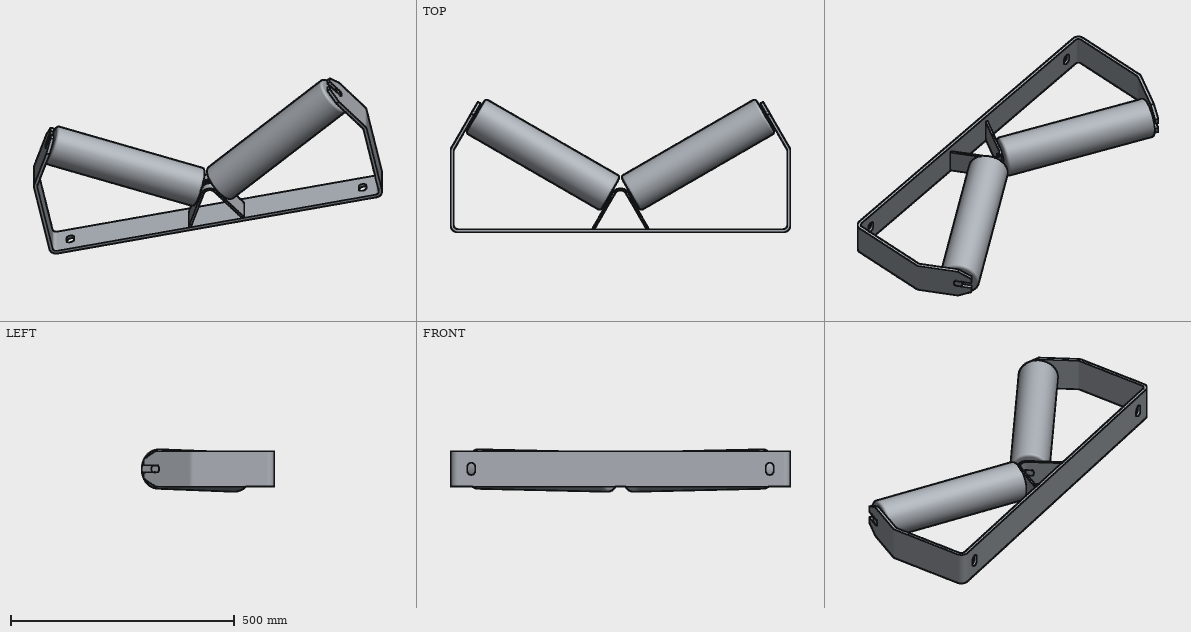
import cadquery as cq
import math


FRAME_WIDTH = 760.0
BAR_HEIGHT = 80.0
BAR_THICKNESS = 7.5
BEND_RADIUS = 16.0
ARM_ANGLE = 30.0
BEND_HEIGHT = 186.0
ARM_LENGTH = 122.0
TIP_WIDTH = 44.0
TIP_TAPER = 30.5

MOUNT_SPACING = 667.0
MOUNT_LENGTH = 27.0
MOUNT_WIDTH = 17.5

WEDGE_HEIGHT = 60.0
WEDGE_DROP = 7.2
WEDGE_THICKNESS = 5.0
WEDGE_PEAK = 118.0
WEDGE_RADIUS = 19.0

ROLLER_DIAMETER = 89.0
ROLLER_LENGTH = 347.0
ROLLER_FILLET = 6.0
SHAFT_DIAMETER = 20.0
SHAFT_FLATS = 14.5
FLAT_CLEARANCE = 0.4
AXIS_CROSSING = 74.0

SLOT_WIDTH = 16.0
SLOT_END_DIAMETER = 20.5

SIN = math.sin(math.radians(ARM_ANGLE))
COS = math.cos(math.radians(ARM_ANGLE))
TAN = SIN / COS
HALF_WIDTH = FRAME_WIDTH / 2
OVERLAP = 38.0

ARM_OUTER = HALF_WIDTH * COS + (BEND_HEIGHT - AXIS_CROSSING) * SIN
ARM_INNER = ARM_OUTER - BAR_THICKNESS
FLANK_OUTER = (WEDGE_PEAK - AXIS_CROSSING) * SIN
FLANK_INNER = FLANK_OUTER - WEDGE_THICKNESS

AXIS_ON_ARM = (AXIS_CROSSING + ARM_OUTER * SIN - BEND_HEIGHT) / COS
TIP = ARM_LENGTH - AXIS_ON_ARM

ROLLER_SLOPE = WEDGE_DROP / (ARM_OUTER - FLANK_OUTER)
SLANT = math.hypot(1, ROLLER_SLOPE)


def axis_plane(distance, level=0.0, slope=0.0):
    """Plane across the right roller axis: local x up along the arm, normal towards the wedge."""
    return cq.Plane(
        origin=(distance * COS, AXIS_CROSSING + distance * SIN, level),
        xDir=(-SIN, COS, 0),
        normal=(-COS, -SIN, -slope),
    )


def both_sides(right):
    """The given right-hand shape and its mirror image."""
    return [right, right.mirror("YZ")]


def shaft_slot(outer, thickness, length, level):
    """Open slot through a sheet: round end around the shaft, level edges, open along the sheet."""
    plane = axis_plane(outer + thickness, level)
    depth = 3 * thickness
    round_end = cq.Workplane(plane).circle(SLOT_END_DIAMETER / 2).extrude(depth)
    passage = cq.Workplane(plane).center(length / 2, 0).rect(length, SLOT_END_DIAMETER).extrude(depth)
    band = cq.Workplane(plane).rect(3 * length, SLOT_WIDTH).extrude(depth)
    return round_end.union(passage).intersect(band)


def frame_block(inset, top):
    """Solid inside the bracket outline moved inward by inset, with rounded bends."""
    side = HALF_WIDTH - inset
    bend = BEND_HEIGHT - inset * math.tan(math.radians(ARM_ANGLE / 2))
    shoulder = side - (top - bend) * TAN
    outline = [(-side, inset), (side, inset), (side, bend), (shoulder, top), (-shoulder, top), (-side, bend)]
    block = cq.Workplane("XY").polyline(outline).close().extrude(BAR_HEIGHT / 2, both=True)
    return block.edges("|Z").edges("not >Y").fillet(BEND_RADIUS - inset)


def arm_tip_trim():
    """Material to remove from the right arm to leave a flat end with two chamfers."""
    half_bar = BAR_HEIGHT / 2
    half_tip = TIP_WIDTH / 2
    outline = [(TIP - TIP_TAPER, -half_bar), (TIP, -half_tip), (TIP, half_tip), (TIP - TIP_TAPER, half_bar)]
    beyond = [(TIP + OVERLAP, half_bar), (TIP + OVERLAP, -half_bar)]
    plane = axis_plane(ARM_OUTER + BAR_THICKNESS)
    return cq.Workplane(plane).polyline(outline + beyond).close().extrude(3 * BAR_THICKNESS)


def make_bracket():
    top = BEND_HEIGHT + ARM_LENGTH * COS
    bracket = frame_block(0, top).cut(frame_block(BAR_THICKNESS, top + OVERLAP))
    for trim in both_sides(arm_tip_trim()):
        bracket = bracket.cut(trim)
    for slot in both_sides(shaft_slot(ARM_OUTER, BAR_THICKNESS, ARM_LENGTH, 0)):
        bracket = bracket.cut(slot)
    mounts = (
        cq.Workplane("XZ")
        .pushPoints([(-MOUNT_SPACING / 2, 0), (MOUNT_SPACING / 2, 0)])
        .slot2D(MOUNT_LENGTH, MOUNT_WIDTH, 90)
        .extrude(BAR_THICKNESS, both=True)
    )
    return bracket.cut(mounts)


def wedge_block(peak, radius, foot):
    """Triangular solid with a rounded peak, standing on Y = foot."""
    half_base = (peak - foot) * TAN
    outline = [(-half_base, foot), (half_base, foot), (0, peak)]
    block = cq.Workplane("XY", origin=(0, 0, -WEDGE_DROP))
    block = block.polyline(outline).close().extrude(WEDGE_HEIGHT / 2, both=True)
    return block.edges("|Z").edges(">Y").fillet(radius)


def make_wedge():
    inner_peak = WEDGE_PEAK - WEDGE_THICKNESS / SIN
    wedge = wedge_block(WEDGE_PEAK, WEDGE_RADIUS, BAR_THICKNESS)
    wedge = wedge.cut(wedge_block(inner_peak, WEDGE_RADIUS - WEDGE_THICKNESS, 0))
    slot_length = WEDGE_PEAK - AXIS_CROSSING
    for slot in both_sides(shaft_slot(FLANK_OUTER, WEDGE_THICKNESS, slot_length, -WEDGE_DROP)):
        wedge = wedge.cut(slot)
    return wedge


def flattened_end(start, length):
    """Piece of the shaft with flats above and below, from a distance along its axis."""
    plane = axis_plane(ARM_OUTER, slope=ROLLER_SLOPE)
    end = cq.Workplane(plane).workplane(offset=start).circle(SHAFT_DIAMETER / 2).extrude(length)
    flats = cq.Workplane(plane).workplane(offset=start).rect(2 * SHAFT_DIAMETER, SHAFT_FLATS).extrude(length)
    return end.intersect(flats)


def make_roller():
    """Right roller with its shaft ends, from the arm's outer face to the flank's inner face."""
    shaft_length = (ARM_OUTER - FLANK_INNER) * SLANT
    outer_flat = BAR_THICKNESS + FLAT_CLEARANCE
    inner_flat = WEDGE_THICKNESS + FLAT_CLEARANCE
    middle = (ARM_OUTER - (ARM_INNER + FLANK_OUTER) / 2) * SLANT
    axis = cq.Workplane(axis_plane(ARM_OUTER, slope=ROLLER_SLOPE))
    barrel = axis.workplane(offset=middle - ROLLER_LENGTH / 2).circle(ROLLER_DIAMETER / 2)
    barrel = barrel.extrude(ROLLER_LENGTH).edges().fillet(ROLLER_FILLET)
    shaft = axis.workplane(offset=outer_flat).circle(SHAFT_DIAMETER / 2)
    shaft = shaft.extrude(shaft_length - outer_flat - inner_flat)
    roller = barrel.union(shaft)
    roller = roller.union(flattened_end(0, outer_flat))
    return roller.union(flattened_end(shaft_length - inner_flat, inner_flat))


bracket = make_bracket()
wedge = make_wedge()
rollers = both_sides(make_roller())

bodies = [bracket, wedge, *rollers]
result = cq.Compound.makeCompound([body.solids().val() for body in bodies])